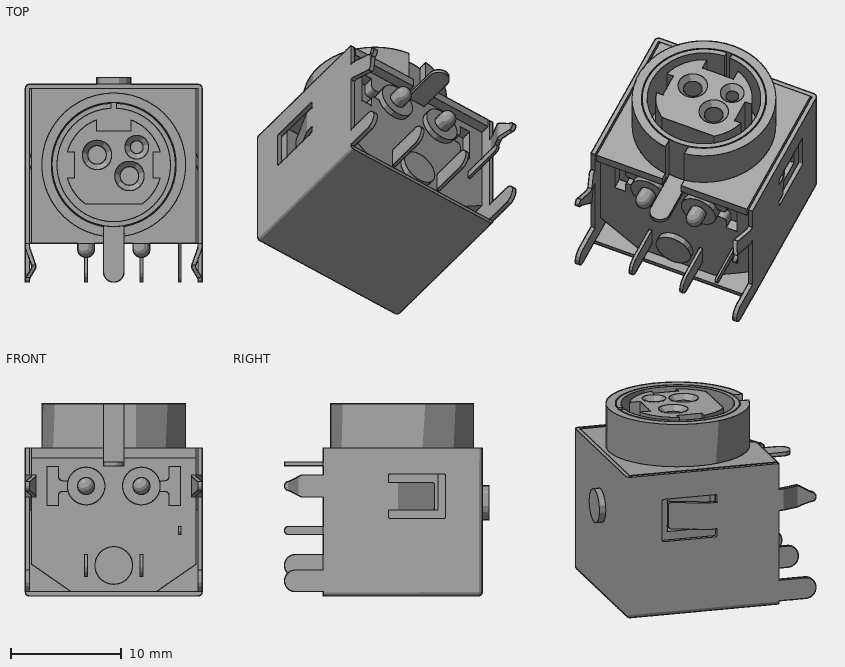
import cadquery as cq
import math


width = 16.0
front_y = -7.1
back_y = 7.3
body_top = 13.4
socket_top = 17.4
tail_tip_y = front_y - 3.5
overlap = 0.2

sheet = 0.4
half_width = width / 2
inner_half_width = half_width - sheet
leg_width = 1.95
window_y = (-1.2, 3.97)
window_z = (7.02, 11.02)
window_corner = 0.15
slot_width = 0.75
tab_bend_y = -0.43
tab_tip_y = 2.98
tab_z = (window_z[0] + slot_width, window_z[1] - slot_width)
tab_inset = 1.3
tab_corner = 0.25
tab_bend_radius = 0.6

clip_z = 9.95
clip_width = 2.0
clip_bend_start = 0.35
clip_crest = 2.12
clip_taper_start = 1.95
clip_bend_end = 3.16
clip_bend_radius = 0.45
clip_inset = 0.62
clip_tip_radius = 0.43

side_gap = 0.15
block_half_width = inner_half_width - side_gap
recess = 0.9
face_y = front_y + recess
plate_thickness = 0.9
corner_cut_x = 3.85
corner_cut_z = 2.5
peg_radius = 1.55
peg_height = 0.6
peg_z = 8.43
side_pocket_end_y = 3.3
side_pocket_floor_x = 5.9

pad_radius = 1.7
pad_height = 0.57
upper_pad_x = 2.5
upper_pad_z = clip_z
lower_pad_z = 2.77
pocket_depth = 1.0
pocket_x = (5.0, 6.05)
pocket_z = (8.2, 11.7)
neck_width = 0.95
neck_fillet = 0.4
post_radius = 0.77
post_length = 0.5
blade_x = 2.51
blade_thickness = 0.3
blade_width = 2.0
thin_tail_x = 5.97
thin_tail_thickness = 0.22
thin_tail_width = 0.76
thin_tail_z = 5.93

collar_radius = 6.5
bore_radius = 5.65
ring_outer = 5.57
ring_inner = 5.13
ring_slit = 0.5
tongue_width = 1.87
tongue_thickness = 0.36
socket_floor = 11.78
core_radius = 4.36
core_flat_y = -3.52
key_width = 3.08
key_floor_y = 3.08
side_key_width = 2.33
side_key_floor_x = 3.55
contact_depth = 7.0
contact_chamfer = 0.49
contact_holes = [
    (-1.51, 0.9, 0.84),
    (1.42, -1.0, 0.84),
    (2.08, 1.6, 0.58),
]


def box(x0, x1, y0, y1, z0, z1):
    """Axis-aligned block between two opposite corners."""
    return cq.Workplane("XY").box(x1 - x0, y1 - y0, z1 - z0, centered=False).translate((x0, y0, z0))


def disc_to_front(x, z, radius, y_back, y_front):
    """Cylinder along Y from y_back out to y_front."""
    return cq.Workplane("XZ", origin=(x, y_back, z)).circle(radius).extrude(y_back - y_front)


def upright_tail(x, z, thickness, tail_width, y_start):
    """Flat solder tail standing in a YZ plane, with a full-round tip."""
    radius = tail_width / 2
    return (
        cq.Workplane("YZ", origin=(x - thickness / 2, 0, 0))
        .moveTo(y_start, z - radius)
        .lineTo(tail_tip_y + radius, z - radius)
        .threePointArc((tail_tip_y, z), (tail_tip_y + radius, z + radius))
        .lineTo(y_start, z + radius)
        .close()
        .extrude(thickness)
    )


def mirrored_pair(left):
    """A left-hand feature together with its mirror image across x = 0."""
    return [left, left.mirror("YZ")]


def cover_clip():
    """Left clip: strip bent inwards to a crest and back out, with a tapered round tip."""
    outer = -half_width
    path = [
        (outer, front_y),
        (outer, front_y - clip_bend_start),
        (outer + clip_inset, front_y - clip_crest),
        (outer, front_y - clip_bend_end),
        (outer, tail_tip_y),
    ]
    inner_path = [(x + sheet, y) for x, y in reversed(path)]
    strip = cq.Workplane("XY").polyline(path + inner_path).close().extrude(body_top)
    bends = cq.selectors.BoxSelector(
        (outer - overlap, front_y - clip_bend_end - overlap, 0),
        (outer + sheet + clip_inset + overlap, front_y - overlap, body_top),
    )
    strip = strip.edges("|Z").edges(bends).fillet(clip_bend_radius)
    half = clip_width / 2
    taper_y = front_y - clip_taper_start
    round_y = tail_tip_y + clip_tip_radius
    silhouette = (
        cq.Workplane("YZ", origin=(outer, 0, 0))
        .moveTo(front_y, clip_z - half)
        .lineTo(taper_y, clip_z - half)
        .lineTo(round_y, clip_z - clip_tip_radius)
        .threePointArc((tail_tip_y, clip_z), (round_y, clip_z + clip_tip_radius))
        .lineTo(taper_y, clip_z + half)
        .lineTo(front_y, clip_z + half)
        .close()
        .extrude(sheet + clip_inset)
    )
    return strip.intersect(silhouette)


def cover_window():
    """Rounded opening in the left wall, later partly filled by the spring tab."""
    opening = box(-half_width - overlap, -inner_half_width + overlap, *window_y, *window_z)
    return opening.edges("|X").fillet(window_corner)


def cover_tab():
    """Left spring tab: flat at its root, then bent inwards towards its free tip."""
    outer = -half_width
    tab = (
        cq.Workplane("XY", origin=(0, 0, tab_z[0]))
        .polyline([
            (outer, window_y[0]),
            (outer, tab_bend_y),
            (outer + tab_inset, tab_tip_y),
            (outer + tab_inset + sheet, tab_tip_y),
            (outer + sheet, tab_bend_y),
            (outer + sheet, window_y[0]),
        ])
        .close()
        .extrude(tab_z[1] - tab_z[0])
    )
    bend = cq.selectors.BoxSelector(
        (outer - overlap, tab_bend_y - overlap, tab_z[0]),
        (outer + sheet + overlap, tab_bend_y + overlap, tab_z[1]),
    )
    tab = tab.edges("|Z").edges(bend).fillet(tab_bend_radius)
    return tab.faces(">Y").edges("|X").fillet(tab_corner)


def make_cover():
    shell = box(-half_width, half_width, front_y, back_y, 0, body_top)
    shell = shell.edges("(|Z and >Y) or (|X and >Y and <Z) or (|Y and <Z)").fillet(sheet)
    cavity = box(
        -inner_half_width, inner_half_width,
        front_y - overlap, back_y - sheet,
        sheet, body_top + overlap,
    )
    shell = shell.cut(cavity)
    peg_hole = disc_to_front(0, peg_z, peg_radius, back_y + overlap, back_y - sheet - overlap)
    shell = shell.cut(peg_hole)
    for window in mirrored_pair(cover_window()):
        shell = shell.cut(window)
    leg_z = sheet + leg_width / 2
    leg = upright_tail(-half_width + sheet / 2, leg_z, sheet, leg_width, front_y)
    for feature in (cover_tab(), cover_clip(), leg):
        for copy in mirrored_pair(feature):
            shell = shell.union(copy)
    return shell


def housing_block():
    """Block with cut lower corners, overhanging top plate, collar and rear peg."""
    block = (
        cq.Workplane("XZ", origin=(0, back_y - sheet, 0))
        .polyline([
            (-block_half_width, body_top),
            (-block_half_width, sheet + corner_cut_z),
            (-corner_cut_x, sheet),
            (corner_cut_x, sheet),
            (block_half_width, sheet + corner_cut_z),
            (block_half_width, body_top),
        ])
        .close()
        .extrude(back_y - sheet - face_y)
    )
    plate = box(-block_half_width, block_half_width, front_y, face_y, body_top - plate_thickness, body_top)
    collar = cq.Workplane("XY", origin=(0, 0, body_top)).circle(collar_radius).extrude(socket_top - body_top)
    peg = disc_to_front(0, peg_z, peg_radius, back_y + peg_height, back_y - sheet)
    return block.union(plate).union(collar).union(peg)


def socket_core():
    """Keyed insulator inside the shield ring, with countersunk contact holes."""
    height = socket_top - socket_floor
    core = cq.Workplane("XY", origin=(0, 0, socket_floor)).circle(core_radius).extrude(height)
    reach = core_radius + overlap
    core = core.cut(box(-reach, reach, -reach, core_flat_y, socket_floor, socket_top))
    core = core.cut(box(-key_width / 2, key_width / 2, key_floor_y, reach, socket_floor, socket_top))
    half_key = side_key_width / 2
    side_key = box(-reach, -side_key_floor_x, -half_key, half_key, socket_floor, socket_top)
    for key in mirrored_pair(side_key):
        core = core.cut(key)
    return core


def contact_hole(x, y, radius):
    bore = cq.Workplane("XY", origin=(x, y, socket_top)).circle(radius).extrude(-contact_depth)
    countersink = cq.Solid.makeCone(
        radius + contact_chamfer, radius, contact_chamfer,
        pnt=cq.Vector(x, y, socket_top), dir=cq.Vector(0, 0, -1),
    )
    return bore.union(cq.Workplane(obj=countersink))


def terminal_pocket():
    """Left T-shaped pocket: an upright bar and a neck that runs into the round pad."""
    y_floor = face_y + pocket_depth
    bar = box(-pocket_x[1], -pocket_x[0], face_y, y_floor, *pocket_z)
    neck_z = (upper_pad_z - neck_width / 2, upper_pad_z + neck_width / 2)
    neck = box(-pocket_x[0], -upper_pad_x, face_y, y_floor, *neck_z)
    pocket = bar.union(neck)
    mouth = cq.selectors.BoxSelector(
        (-pocket_x[0] - overlap, face_y - overlap, neck_z[0] - overlap),
        (-pocket_x[0] + overlap, y_floor + overlap, neck_z[1] + overlap),
    )
    pocket = pocket.edges("|Y").edges(mouth).fillet(neck_fillet)
    return pocket.cut(disc_to_front(-upper_pad_x, upper_pad_z, pad_radius, y_floor, face_y))


def terminal_post():
    """Left round pad carrying a round-ended post."""
    pad = disc_to_front(-upper_pad_x, upper_pad_z, pad_radius, face_y, face_y - pad_height)
    post_end = front_y - post_length
    post = disc_to_front(-upper_pad_x, upper_pad_z, post_radius, face_y, post_end)
    ball = cq.Workplane("XY").sphere(post_radius).translate((-upper_pad_x, post_end, upper_pad_z))
    return pad.union(post).union(ball)


def make_housing():
    body = housing_block()
    bore = cq.Workplane("XY", origin=(0, 0, socket_floor)).circle(bore_radius).extrude(socket_top - socket_floor)
    body = body.cut(bore).union(socket_core())
    half_tongue = tongue_width / 2
    body = body.cut(box(-half_tongue, half_tongue, front_y, -ring_inner, socket_floor, socket_top))
    for x, y, radius in contact_holes:
        body = body.cut(contact_hole(x, y, radius))

    side_pocket = box(
        -block_half_width, -side_pocket_floor_x,
        window_y[0], side_pocket_end_y,
        tab_z[0], pocket_z[1],
    )
    for cutter in (side_pocket, terminal_pocket()):
        for copy in mirrored_pair(cutter):
            body = body.cut(copy)

    blade = upright_tail(-blade_x, lower_pad_z, blade_thickness, blade_width, face_y)
    for feature in (terminal_post(), blade):
        for copy in mirrored_pair(feature):
            body = body.union(copy)
    body = body.union(disc_to_front(0, lower_pad_z, pad_radius, face_y, face_y - pad_height))
    thin_tail = upright_tail(thin_tail_x, thin_tail_z, thin_tail_thickness, thin_tail_width, face_y)
    return body.union(thin_tail)


def make_shield_ring():
    ring = (
        cq.Workplane("XY", origin=(0, 0, socket_floor))
        .circle(ring_outer)
        .circle(ring_inner)
        .extrude(socket_top - socket_floor)
    )
    ring = ring.cut(box(-ring_slit / 2, ring_slit / 2, 0, ring_outer + overlap, socket_floor, socket_top))
    half = tongue_width / 2
    root_y = -math.sqrt(ring_inner**2 - half**2)
    tongue = (
        cq.Workplane("XY", origin=(0, 0, socket_floor))
        .moveTo(-half, root_y)
        .lineTo(-half, tail_tip_y + half)
        .threePointArc((0, tail_tip_y), (half, tail_tip_y + half))
        .lineTo(half, root_y)
        .threePointArc((0, -ring_inner), (-half, root_y))
        .close()
        .extrude(tongue_thickness)
    )
    return ring.union(tongue)


cover = make_cover()
housing = make_housing()
shield_ring = make_shield_ring()

result = cq.Compound.makeCompound([housing.val(), cover.val(), shield_ring.val()])